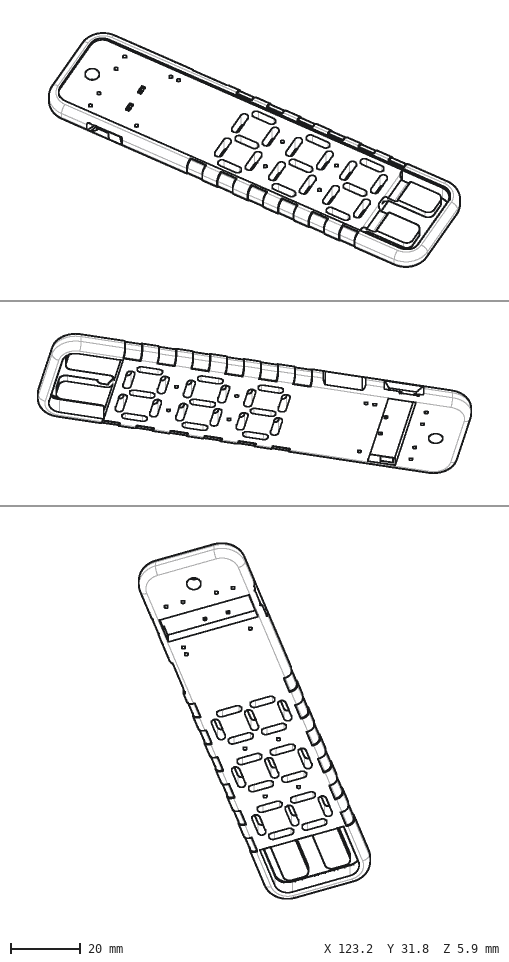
import cadquery as cq

LENGTH = 123.24
WIDTH = 31.8
HEIGHT = 5.9
CORNER_RADIUS = 7.0
EDGE_RADIUS = 2.0

END_RIM = 2.8
SIDE_RIM = 3.1
RECESS_DEPTH = 0.8
FACE_Z = HEIGHT - RECESS_DEPTH
RECESS_LENGTH = LENGTH - 2 * END_RIM
RECESS_WIDTH = WIDTH - 2 * SIDE_RIM
RECESS_CORNER_RADIUS = CORNER_RADIUS - SIDE_RIM

GRIP_COUNT = 6
GRIP_PITCH = 10.0
GRIP_CENTER_X = 14.1
GRIP_LENGTH = 5.2
GRIP_DEPTH = 0.2
GRIP_TOP_MARGIN = 0.4
GRIP_REACH = EDGE_RADIUS + GRIP_TOP_MARGIN

GRID = 2.54
DIGIT_COUNT = 3
DIGIT_PITCH = 7 * GRID
DIGITS_CENTER_X = 15.25
SEGMENT_PITCH = 5.05
SEGMENT_LENGTH = 7.4
SEGMENT_WIDTH = 2.3

STRAP_HOLE_DIAMETER = 4.06
STRAP_HOLE_X = -53.3
PIN_HOLE_DIAMETER = 1.02
PIN_COLUMN_X = -48.25
PAIR_HOLE_X = -33.1
PIN_SLOT_X = -38.2
PIN_SLOT_LENGTH = 2.6
PIN_SLOT_DEPTH = 0.8
PIN_SLOT_WIDTH = 1.1
PIN_SLOT_CENTERS_Y = (1.9, -5.2)

KEY_WINDOW_START_X = 41.5
KEY_WINDOW_END_X = 58.45
KEY_WINDOW_LEDGE = 0.1
KEY_WINDOW_WIDTH = RECESS_WIDTH - 2 * KEY_WINDOW_LEDGE
KEY_WIDTH = 3 * GRID
KEY_CENTER_Y = 2.5 * GRID
KEY_START_X = 45.6
KEY_END_X = 56.5
KEY_CORNER_RADIUS = 2.0
KEY_ROOT_OVERLAP = 1.0
KEY_RISE = 1.15
KEY_FILLET = 1.1
SPRING_DROP = 1.0
SPRING_THICKNESS = 1.2
SPRING_ROOT_FILLET = 1.7
SPRING_TOP_Z = FACE_Z - SPRING_DROP
SPRING_BOTTOM_Z = SPRING_TOP_Z - SPRING_THICKNESS
KEY_TOP_Z = SPRING_TOP_Z + KEY_RISE

FLARE_DEPTH = 1.6
POCKET_WALL = 2.3
WINDOW_CENTER_X = -40.4
WINDOW_OUTER_LENGTH = 11.6
WINDOW_INNER_LENGTH = 8.1
WINDOW_OUTER_BOTTOM_Z = 1.25
WINDOW_OUTER_TOP_Z = 4.8
WINDOW_INNER_BOTTOM_Z = 2.75
WINDOW_INNER_TOP_Z = 3.5
NOTCH_CENTER_X = -42.0
NOTCH_OUTER_LENGTH = 6.3
NOTCH_INNER_LENGTH = 3.7
NOTCH_BOTTOM_Z = 0.95

SCOOP_CENTER_X = -22.9
SCOOP_OUTER_LENGTH = 12.5
SCOOP_INNER_LENGTH = 11.0
SCOOP_DEPTH = 0.9


def rounded_plate(length, width, radius, bottom, top):
    plate = cq.Workplane("XY", origin=(0, 0, bottom)).rect(length, width).extrude(top - bottom)
    return plate.edges("|Z").fillet(radius)


def body():
    shell = rounded_plate(LENGTH, WIDTH, CORNER_RADIUS, 0, HEIGHT)
    return shell.faces("<Z or >Z").edges().fillet(EDGE_RADIUS)


def face_recess():
    return rounded_plate(RECESS_LENGTH, RECESS_WIDTH, RECESS_CORNER_RADIUS, FACE_Z, HEIGHT)


def grip_cutter():
    """Shallow bands sunk into the side walls, with sloping ends that follow the rounded edges."""
    half = GRIP_LENGTH / 2
    outer = cq.Sketch().rect(WIDTH, HEIGHT).vertices().fillet(EDGE_RADIUS)
    inner_radius = EDGE_RADIUS - GRIP_DEPTH
    inner = cq.Sketch().rect(WIDTH - 2 * GRIP_DEPTH, HEIGHT - 2 * GRIP_DEPTH).vertices().fillet(inner_radius)
    end = cq.Workplane("YZ", origin=(-half, 0, HEIGHT / 2))
    end = end.placeSketch(outer, inner.moved(cq.Location(cq.Vector(0, 0, GRIP_DEPTH)))).loft(ruled=True)
    waist = (
        cq.Workplane("YZ", origin=(GRIP_DEPTH - half, 0, HEIGHT / 2))
        .placeSketch(inner)
        .extrude(GRIP_LENGTH - 2 * GRIP_DEPTH)
        .union(end)
        .union(end.mirror("YZ"))
    )
    middle = cq.Workplane("XY").box(GRIP_LENGTH, WIDTH - 2 * GRIP_REACH, HEIGHT)
    band = cq.Workplane("XY").box(GRIP_LENGTH, WIDTH, HEIGHT).cut(middle)
    band = band.translate((0, 0, HEIGHT / 2)).cut(waist)
    first_x = GRIP_CENTER_X - (GRIP_COUNT - 1) / 2 * GRIP_PITCH
    bands = cq.Workplane("XY")
    for index in range(GRIP_COUNT):
        bands = bands.union(band.translate((first_x + index * GRIP_PITCH, 0, 0)))
    return bands


def through_slots(points, length, width, angle=0):
    return cq.Workplane("XY").pushPoints(points).slot2D(length, width, angle).extrude(HEIGHT)


def through_holes(points, diameter):
    return cq.Workplane("XY").pushPoints(points).circle(diameter / 2).extrude(HEIGHT)


def digit_segments():
    level = []
    upright = []
    for index in range(DIGIT_COUNT):
        x = DIGITS_CENTER_X + (index - (DIGIT_COUNT - 1) / 2) * DIGIT_PITCH
        for step in (-2, 0, 2):
            level.append((x, step * SEGMENT_PITCH))
        for side in (-1, 1):
            for step in (-1, 1):
                upright.append((x + side * SEGMENT_PITCH, step * SEGMENT_PITCH))
    cutter = through_slots(level, SEGMENT_LENGTH, SEGMENT_WIDTH)
    return cutter.union(through_slots(upright, SEGMENT_LENGTH, SEGMENT_WIDTH, 90))


def pin_holes():
    """Pin holes, two of them in shallow rectangular slots, and the strap hole."""
    points = [(PIN_COLUMN_X, step * GRID) for step in (-4, -2, 2, 4)]
    points += [(PAIR_HOLE_X, -4 * GRID), (PAIR_HOLE_X, 4 * GRID), (PAIR_HOLE_X + GRID, 4 * GRID)]
    for side in (-1, 1):
        x = DIGITS_CENTER_X + side * DIGIT_PITCH / 2
        points += [(x, -2 * GRID), (x, 2 * GRID)]
    slots = [(PIN_SLOT_X, y) for y in PIN_SLOT_CENTERS_Y]
    points += slots
    cutter = through_holes(points, PIN_HOLE_DIAMETER)
    slot_floors = cq.Workplane("XY", origin=(0, 0, FACE_Z - PIN_SLOT_DEPTH)).pushPoints(slots)
    cutter = cutter.union(slot_floors.rect(PIN_SLOT_WIDTH, PIN_SLOT_LENGTH).extrude(PIN_SLOT_DEPTH))
    return cutter.union(through_holes([(STRAP_HOLE_X, 0)], STRAP_HOLE_DIAMETER))


def key_window():
    """Opening under the keys, with rounded corners at its +X end only."""
    length = KEY_WINDOW_END_X - KEY_WINDOW_START_X
    window = cq.Workplane("XY").rect(length, KEY_WINDOW_WIDTH).extrude(HEIGHT)
    window = window.edges("|Z and >X").fillet(RECESS_CORNER_RADIUS)
    return window.translate((KEY_WINDOW_START_X + length / 2, 0, 0))


def key_profile():
    """Side outline of a key: rounded step down from the face, thin spring leaf, thick key."""
    root_x = KEY_WINDOW_START_X - KEY_ROOT_OVERLAP
    return (
        cq.Workplane("XZ")
        .moveTo(root_x, SPRING_BOTTOM_Z)
        .lineTo(KEY_END_X, SPRING_BOTTOM_Z)
        .lineTo(KEY_END_X, KEY_TOP_Z)
        .lineTo(KEY_START_X, KEY_TOP_Z)
        .lineTo(KEY_START_X, SPRING_TOP_Z + KEY_FILLET)
        .radiusArc((KEY_START_X - KEY_FILLET, SPRING_TOP_Z), KEY_FILLET)
        .lineTo(KEY_WINDOW_START_X + SPRING_DROP, SPRING_TOP_Z)
        .radiusArc((KEY_WINDOW_START_X, FACE_Z), -SPRING_DROP)
        .lineTo(root_x, FACE_Z)
        .close()
        .extrude(WIDTH / 2, both=True)
    )


def key_outline():
    """Key seen from above: rounded free end, and a root that flares into the face plate."""
    root_x = KEY_WINDOW_START_X
    half_width = KEY_WIDTH / 2
    flare_x = root_x + SPRING_ROOT_FILLET
    flare_y = half_width + SPRING_ROOT_FILLET
    corner_x = KEY_END_X - KEY_CORNER_RADIUS
    corner_y = half_width - KEY_CORNER_RADIUS
    return (
        cq.Workplane("XY")
        .moveTo(root_x, flare_y)
        .radiusArc((flare_x, half_width), -SPRING_ROOT_FILLET)
        .lineTo(corner_x, half_width)
        .radiusArc((KEY_END_X, corner_y), KEY_CORNER_RADIUS)
        .lineTo(KEY_END_X, -corner_y)
        .radiusArc((corner_x, -half_width), KEY_CORNER_RADIUS)
        .lineTo(flare_x, -half_width)
        .radiusArc((root_x, -flare_y), -SPRING_ROOT_FILLET)
        .lineTo(root_x - KEY_ROOT_OVERLAP, -flare_y)
        .lineTo(root_x - KEY_ROOT_OVERLAP, flare_y)
        .close()
        .extrude(HEIGHT)
    )


def key(center_y):
    return key_profile().intersect(key_outline().translate((0, center_y, 0)))


def wall_opening(center_x, outer, inner):
    """Tapered opening through the -Y wall; outer and inner are (length, bottom z, top z)."""
    outer_length, outer_bottom, outer_top = outer
    inner_length, inner_bottom, inner_top = inner
    outer_middle = (outer_bottom + outer_top) / 2
    inner_middle = (inner_bottom + inner_top) / 2
    inner_height = inner_top - inner_bottom
    flare = (
        cq.Workplane("XZ", origin=(center_x, -WIDTH / 2, outer_middle))
        .rect(outer_length, outer_top - outer_bottom)
        .workplane(offset=-FLARE_DEPTH)
        .center(0, inner_middle - outer_middle)
        .rect(inner_length, inner_height)
        .loft(ruled=True)
    )
    passage = (
        cq.Workplane("XZ", origin=(center_x, -WIDTH / 2, inner_middle))
        .rect(inner_length, inner_height)
        .extrude(-WIDTH / 2)
    )
    return flare.union(passage)


def side_openings():
    """Plug window and notch in both side walls, joined by a pocket open at the bottom."""
    window = wall_opening(
        WINDOW_CENTER_X,
        (WINDOW_OUTER_LENGTH, WINDOW_OUTER_BOTTOM_Z, WINDOW_OUTER_TOP_Z),
        (WINDOW_INNER_LENGTH, WINDOW_INNER_BOTTOM_Z, WINDOW_INNER_TOP_Z),
    )
    notch = wall_opening(
        NOTCH_CENTER_X,
        (NOTCH_OUTER_LENGTH, NOTCH_BOTTOM_Z, WINDOW_INNER_TOP_Z),
        (NOTCH_INNER_LENGTH, NOTCH_BOTTOM_Z, WINDOW_INNER_TOP_Z),
    )
    near = window.union(notch)
    pocket = (
        cq.Workplane("XY")
        .rect(WINDOW_INNER_LENGTH, WIDTH - 2 * POCKET_WALL)
        .extrude(WINDOW_INNER_TOP_Z)
        .translate((WINDOW_CENTER_X, 0, 0))
    )
    return near.union(near.mirror("XZ")).union(pocket)


def side_scoop():
    """Shallow scoop with sloping ends in the +Y wall."""
    outer_y = WIDTH / 2
    inner_y = outer_y - SCOOP_DEPTH
    outer_half = SCOOP_OUTER_LENGTH / 2
    inner_half = SCOOP_INNER_LENGTH / 2
    return (
        cq.Workplane("XY")
        .polyline(
            [
                (SCOOP_CENTER_X - outer_half, outer_y),
                (SCOOP_CENTER_X - inner_half, inner_y),
                (SCOOP_CENTER_X + inner_half, inner_y),
                (SCOOP_CENTER_X + outer_half, outer_y),
            ]
        )
        .close()
        .extrude(HEIGHT)
    )


result = body().cut(face_recess()).cut(grip_cutter())
result = result.cut(digit_segments()).cut(pin_holes())
result = result.cut(side_openings()).cut(side_scoop())
result = result.cut(key_window())
for side in (-1, 1):
    result = result.union(key(side * KEY_CENTER_Y))